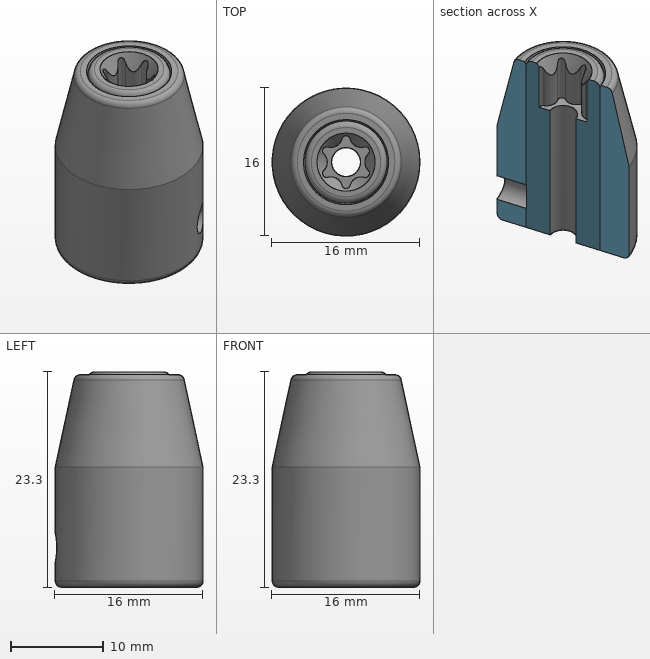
import cadquery as cq
import math

sleeve_radius = 8.0
sleeve_height = 23.0
sleeve_top_radius = 5.85
taper_start = 13.0
edge_rounding = 0.7

insert_radius = 4.45
insert_height = 23.3
mouth_radius = 4.6
mouth_depth = 0.4

side_hole_radius = 1.6
side_hole_height = 4.3

bore_radius = 1.55
socket_depth = 6.0
socket_tip_radius = 2.86
socket_valley_radius = 2.03
lobe_count = 6
tip_rounding = 0.45
lead_in_radius = 3.14
lead_in_angle = 31.0


def polar(radius, degrees):
    angle = math.radians(degrees)
    return radius * math.cos(angle), radius * math.sin(angle)


def between(start, end, distance):
    """Point at the given distance from start on the way to end."""
    share = distance / math.dist(start, end)
    return tuple(a + share * (b - a) for a, b in zip(start, end))


def make_sleeve():
    """Tapered sleeve with rounded outer rims, an insert bore and one side hole."""
    sleeve = (
        cq.Workplane("XZ")
        .polyline([
            (0, 0),
            (sleeve_radius, 0),
            (sleeve_radius, taper_start),
            (sleeve_top_radius, sleeve_height),
            (0, sleeve_height),
        ])
        .close()
        .revolve(360, (0, 0, 0), (0, 1, 0))
    )
    sleeve = sleeve.faces("<Z or >Z").edges().fillet(edge_rounding)

    insert_bore = cq.Workplane("XY").circle(insert_radius).extrude(sleeve_height)
    mouth = cq.Workplane(cq.Solid.makeCone(
        insert_radius, mouth_radius, mouth_depth, pnt=cq.Vector(0, 0, sleeve_height - mouth_depth)
    ))
    side_hole = (
        cq.Workplane("XZ", origin=(0, 0, side_hole_height))
        .circle(side_hole_radius)
        .extrude(-sleeve_radius)
    )
    return sleeve.cut(insert_bore).cut(mouth).cut(side_hole)


def make_socket():
    """Six-lobed socket void: convex lobe tips joined by tangent valley arcs."""
    pitch = 360 / lobe_count
    tip_center_radius = socket_tip_radius - tip_rounding
    spread = 2 * tip_center_radius * math.cos(math.radians(pitch / 2))
    valley_rounding = (
        (tip_center_radius**2 + socket_valley_radius**2 - tip_rounding**2 - spread * socket_valley_radius)
        / (spread + 2 * tip_rounding - 2 * socket_valley_radius)
    )
    valley_center_radius = socket_valley_radius + valley_rounding

    def tangent_point(tip_angle, side):
        tip_center = polar(tip_center_radius, tip_angle)
        valley_center = polar(valley_center_radius, tip_angle + side * pitch / 2)
        return between(tip_center, valley_center, tip_rounding)

    first_tip = 90
    outline = cq.Workplane("XY", origin=(0, 0, insert_height - socket_depth))
    outline = outline.moveTo(*tangent_point(first_tip, -1))
    for lobe in range(lobe_count):
        tip_angle = first_tip + lobe * pitch
        outline = outline.threePointArc(
            polar(socket_tip_radius, tip_angle), tangent_point(tip_angle, 1)
        )
        outline = outline.threePointArc(
            polar(socket_valley_radius, tip_angle + pitch / 2), tangent_point(tip_angle + pitch, -1)
        )
    return outline.close().extrude(socket_depth)


def make_lead_in():
    """Conical void that opens the mouth of the socket down to the bore."""
    depth = (lead_in_radius - bore_radius) / math.tan(math.radians(lead_in_angle))
    return cq.Workplane(cq.Solid.makeCone(
        bore_radius, lead_in_radius, depth, pnt=cq.Vector(0, 0, insert_height - depth)
    ))


def make_insert():
    """Cylindrical insert with a rounded top rim, a six-lobed socket and a through bore."""
    insert = cq.Workplane("XY").circle(insert_radius).extrude(insert_height)
    insert = insert.faces(">Z").edges().fillet(edge_rounding)
    bore = cq.Workplane("XY").circle(bore_radius).extrude(insert_height)
    return insert.cut(bore).cut(make_socket()).cut(make_lead_in())


sleeve = make_sleeve()
insert = make_insert()

result = cq.Compound.makeCompound([sleeve.val(), insert.val()])